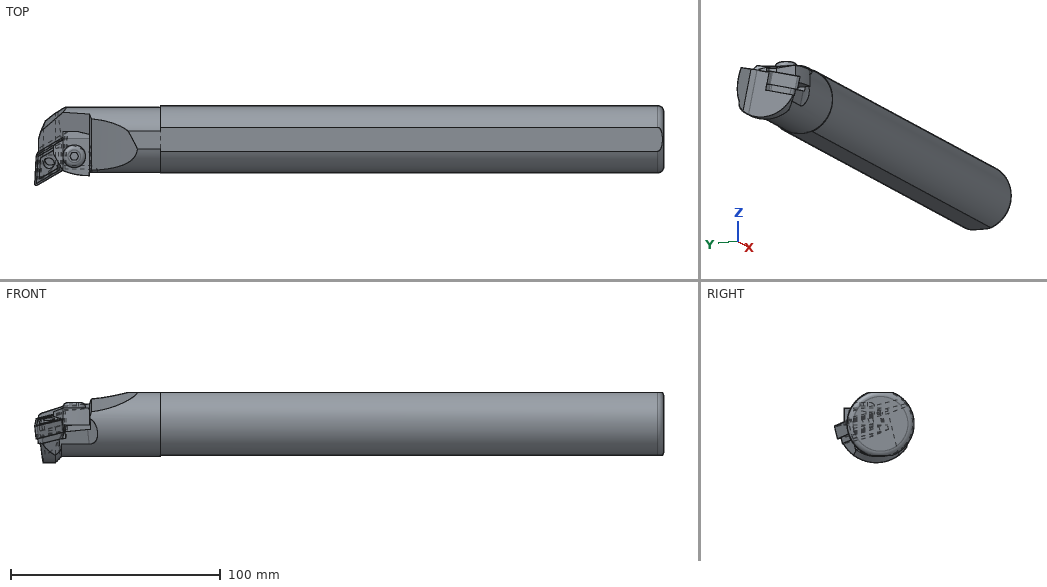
import cadquery as cq
import math

BAR_END = 300.0
SHANK_START = 60.0
SHANK_RADIUS = 16.05
SHANK_FLAT = 15.0
SHANK_END_FILLET = 3.0
NECK_RADIUS = 15.5
NECK_Y = -0.3
NECK_START = -3.0

SIDE_RAKE = math.radians(14)
BACK_RAKE = math.radians(6)
HEAD_DEPTH = 60.0
PLATFORM_LEVEL = 3.5
PLATFORM_END = 26.7
SCOOP_LEVEL = 6.3
SCOOP_START = 28.0
SCOOP_RADIUS = 63.0
SCOOP_LENGTH = 36.0

BULGE_Y = -2.0
BULGE_Z = -0.5
BULGE_RADIUS = 18.0
BULGE_END = 10.0
BULGE_TAPER = 3.0

FACE_U = 2.25
CORNER_V = 1.2
FACET_START = (3.3, 4.8)
FACET_END = (16.2, 16.5)
GULLET_V = -14.55
GULLET_END = 25.2
RUNOUT = (30.5, -16.5)
RUNOUT_MIDDLE = (28.5, -15.15)

INSERT_ANGLE = 55
LEAD_ANGLE = 3
INSERT_SIDE = 15.5
INSERT_THICKNESS = 6.3
INSERT_TOP = 4.2
INSERT_CORNER_RADIUS = 0.8
INSERT_TIP = (0.35, -22.38)
INSERT_HOLE = 5.0
GROOVE_OUTER = 1.0
GROOVE_INNER = 2.0
GROOVE_DEPTH = 0.45

SHIM_THICKNESS = 3.0
SHIM_INSET = 0.5
SHIM_CORNER_RADIUS = 1.5
SEAT_GAP = 1.0
RELIEF_INSET = 1.0

CLAMP_BOTTOM = -0.5
CLAMP_TOP = 7.5
CLAMP_LEFT = 13.5
CLAMP_RIGHT = 26.0
CLAMP_BACK = 3.5
CLAMP_FRONT = -17.5
CLAMP_FRONT_MIDDLE = (19.5, -16.8)
CLAMP_FRONT_CORNER_Y = -15.0
CLAMP_BEVEL_DROP = 0.5
CLAMP_BEVEL_RUN = 3.3
NOSE_X = 9.0
NOSE_FRONT = -7.0
NOSE_BACK = -3.0
NOSE_ROOT = 0.0
NOSE_DROP = 1.8
LEDGE_LEVEL = -1.8
LEDGE_BACK = -3.0
SCREW_X = 19.0
SCREW_Y = -8.0
SCREW_RADIUS = 5.5
SCREW_HEIGHT = 2.7
SCREW_EDGE = 2.5
SOCKET_DIAMETER = 4.2
SOCKET_DEPTH = 1.8


def head_plane(level=0.0):
    """Tilted work plane at a level above the bar axis."""
    along = cq.Vector(
        math.cos(BACK_RAKE),
        -math.sin(SIDE_RAKE) * math.sin(BACK_RAKE),
        math.cos(SIDE_RAKE) * math.sin(BACK_RAKE),
    )
    normal = cq.Vector(
        -math.sin(BACK_RAKE),
        -math.sin(SIDE_RAKE) * math.cos(BACK_RAKE),
        math.cos(SIDE_RAKE) * math.cos(BACK_RAKE),
    )
    return cq.Workplane(cq.Plane(normal * level, along, normal))


def heading(angle):
    """Unit step in the plan at an angle in degrees from the bar direction."""
    return math.cos(math.radians(angle)), math.sin(math.radians(angle))


ACROSS_PLAN = cq.selectors.ParallelDirSelector(head_plane().plane.zDir)
SIDE_EDGE = heading(90 - LEAD_ANGLE)
FRONT_EDGE = heading(90 - LEAD_ANGLE - INSERT_ANGLE)


def diamond_point(side_share, front_share):
    """Point of the insert plan, by shares of its two cutting edges."""
    side = side_share * INSERT_SIDE
    front = front_share * INSERT_SIDE
    return (
        INSERT_TIP[0] + side * SIDE_EDGE[0] + front * FRONT_EDGE[0],
        INSERT_TIP[1] + side * SIDE_EDGE[1] + front * FRONT_EDGE[1],
    )


def diamond(level, height, grow=0.0):
    """Rhombic prism on the tilted plane, its sides moved outward by grow."""
    share = grow / (INSERT_SIDE * math.sin(math.radians(INSERT_ANGLE)))
    low, high = -share, 1 + share
    corners = [(low, low), (high, low), (high, high), (low, high)]
    points = [diamond_point(*corner) for corner in corners]
    return head_plane(level).polyline(points).close().extrude(height)


def make_shank():
    shank = (
        cq.Workplane("YZ", origin=(SHANK_START, 0, 0))
        .circle(SHANK_RADIUS)
        .extrude(BAR_END - SHANK_START)
        .faces(">X").edges().fillet(SHANK_END_FILLET)
    )
    flats = cq.Workplane("XY").box(2 * BAR_END, 4 * SHANK_RADIUS, 2 * SHANK_FLAT)
    return shank.intersect(flats)


def make_neck():
    """Round neck with the upper flat of the shank carried along it."""
    neck = (
        cq.Workplane("YZ", origin=(NECK_START, NECK_Y, 0))
        .circle(NECK_RADIUS)
        .extrude(SHANK_START - NECK_START)
    )
    above_flat = (
        cq.Workplane("XY", origin=(0, 0, SHANK_FLAT))
        .rect(3 * SHANK_START, 4 * NECK_RADIUS)
        .extrude(NECK_RADIUS)
    )
    return neck.cut(above_flat)


def make_bulge():
    return (
        cq.Workplane("YZ", origin=(NECK_START, BULGE_Y, BULGE_Z))
        .circle(BULGE_RADIUS)
        .extrude(BULGE_END + BULGE_TAPER - NECK_START)
        .faces(">X").chamfer(BULGE_TAPER)
    )


def head_outline():
    """Prism with the plan of the head: facets, relief wall and gullet."""
    far_u = SHANK_START * 1.5
    far_v = 2 * NECK_RADIUS
    slope = FRONT_EDGE[1] / FRONT_EDGE[0]
    wall_at_zero = INSERT_TIP[1] - INSERT_TIP[0] * slope + RELIEF_INSET / FRONT_EDGE[0]
    return (
        head_plane(-HEAD_DEPTH / 2)
        .moveTo(FACE_U, wall_at_zero + FACE_U * slope)
        .lineTo(FACE_U, CORNER_V)
        .lineTo(*FACET_START)
        .lineTo(*FACET_END)
        .lineTo(FACET_END[0], far_v)
        .lineTo(far_u, far_v)
        .lineTo(far_u, -far_v)
        .lineTo(RUNOUT[0], -far_v)
        .lineTo(*RUNOUT)
        .threePointArc(RUNOUT_MIDDLE, (GULLET_END, GULLET_V))
        .lineTo((GULLET_V - wall_at_zero) / slope, GULLET_V)
        .close()
        .extrude(HEAD_DEPTH)
    )


def make_top_relief():
    """Everything above the platform and the concave scoop behind it."""
    side = 2 * NECK_RADIUS
    sweep = math.asin(SCOOP_LENGTH / SCOOP_RADIUS)

    def scoop_point(angle):
        return (
            SCOOP_START + SCOOP_RADIUS * math.sin(angle),
            SCOOP_LEVEL + SCOOP_RADIUS * (1 - math.cos(angle)),
        )

    scoop_end = scoop_point(sweep)
    tilted = head_plane().plane
    side_plane = cq.Plane(tilted.yDir * side, tilted.xDir, tilted.yDir * -1)
    return (
        cq.Workplane(side_plane)
        .moveTo(-side, PLATFORM_LEVEL)
        .lineTo(PLATFORM_END, PLATFORM_LEVEL)
        .lineTo(SCOOP_START, SCOOP_LEVEL)
        .threePointArc(scoop_point(sweep / 2), scoop_end)
        .lineTo(scoop_end[0], HEAD_DEPTH)
        .lineTo(-side, HEAD_DEPTH)
        .close()
        .extrude(2 * side)
    )


def make_ledge_cut():
    """Clearance under the clamp, open to the front and top."""
    length = PLATFORM_END - CLAMP_LEFT
    return (
        head_plane(LEDGE_LEVEL)
        .center(CLAMP_LEFT + length / 2, LEDGE_BACK - NECK_RADIUS)
        .rect(length, 2 * NECK_RADIUS)
        .extrude(HEAD_DEPTH)
    )


def make_clamp():
    plate = (
        cq.Workplane("XY", origin=(0, 0, CLAMP_BOTTOM))
        .moveTo(CLAMP_LEFT, CLAMP_BACK)
        .lineTo(CLAMP_RIGHT, CLAMP_BACK)
        .lineTo(CLAMP_RIGHT, CLAMP_FRONT)
        .threePointArc(CLAMP_FRONT_MIDDLE, (CLAMP_LEFT, CLAMP_FRONT_CORNER_Y))
        .lineTo(NOSE_X, NOSE_FRONT)
        .lineTo(NOSE_X, NOSE_BACK)
        .lineTo(CLAMP_LEFT, NOSE_ROOT)
        .close()
        .extrude(CLAMP_TOP - CLAMP_BOTTOM)
        .faces(">Y").edges(">Z").chamfer(CLAMP_BEVEL_DROP, CLAMP_BEVEL_RUN)
    )
    nose_slope = (
        cq.Workplane("XZ", origin=(0, CLAMP_BACK, 0))
        .polyline([
            (NOSE_X, CLAMP_TOP),
            (CLAMP_LEFT, CLAMP_TOP),
            (NOSE_X, CLAMP_TOP - NOSE_DROP),
        ])
        .close()
        .extrude(CLAMP_BACK - CLAMP_FRONT)
    )
    screw = (
        cq.Workplane("XY", origin=(SCREW_X, SCREW_Y, CLAMP_TOP))
        .circle(SCREW_RADIUS)
        .extrude(SCREW_HEIGHT)
        .faces(">Z").edges().fillet(SCREW_EDGE)
        .faces(">Z").workplane()
        .polygon(6, SOCKET_DIAMETER)
        .cutBlind(-SOCKET_DEPTH)
    )
    return plate.cut(nose_slope).union(screw)


def make_holder():
    seat_level = INSERT_TOP - INSERT_THICKNESS - SHIM_THICKNESS
    head = (
        make_neck().union(make_bulge())
        .intersect(head_outline())
        .cut(make_top_relief())
        .cut(make_ledge_cut())
        .cut(diamond(seat_level, HEAD_DEPTH, SEAT_GAP))
    )
    shim = (
        diamond(seat_level, SHIM_THICKNESS, -SHIM_INSET)
        .edges(ACROSS_PLAN)
        .fillet(SHIM_CORNER_RADIUS)
    )
    insert_space = diamond(INSERT_TOP - INSERT_THICKNESS, INSERT_THICKNESS)
    clamp = make_clamp().cut(insert_space)
    return make_shank().union(head).union(shim).union(clamp)


def make_insert():
    bottom = INSERT_TOP - INSERT_THICKNESS
    blank = diamond(bottom, INSERT_THICKNESS)
    groove_floor = INSERT_TOP - GROOVE_DEPTH
    groove = diamond(groove_floor, GROOVE_DEPTH, -GROOVE_OUTER).cut(
        diamond(groove_floor, GROOVE_DEPTH, -GROOVE_INNER)
    )
    hole = (
        head_plane(bottom)
        .center(*diamond_point(0.5, 0.5))
        .circle(INSERT_HOLE / 2)
        .extrude(INSERT_THICKNESS)
    )
    return blank.edges(ACROSS_PLAN).fillet(INSERT_CORNER_RADIUS).cut(groove).cut(hole)


holder = make_holder()
insert = make_insert()
result = cq.Compound.makeCompound([holder.solids().val(), insert.solids().val()])